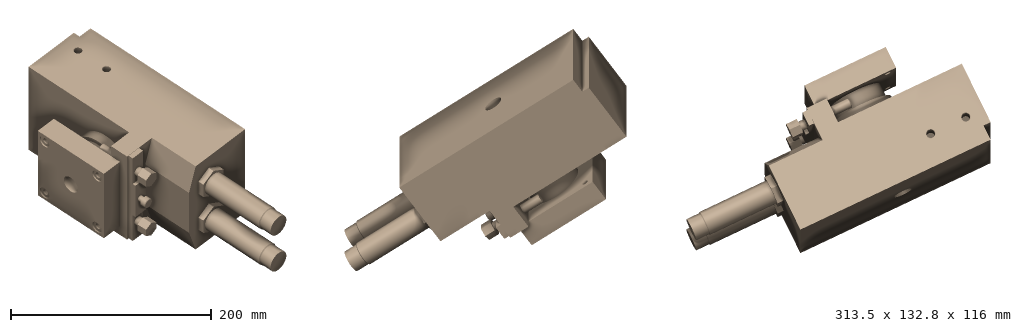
import cadquery as cq
import math


height = 116.0
block_left = -104.7
block_right = 113.8
block_depth = 82.0
rear_step_width = 7.8
rear_step_depth = 16.0
bevel_height = 30.0
bevel_depth = 9.7

lug_left = 32.3
lug_right = 54.2
lug_reach = 26.5

port_diameter = 8.5
port_mouth_diameter = 9.5
port_depth = 15.7
port_inset = 20.0
port_pitch = 39.0
port_y = 50.8

strip_y = -17.0
strip_width = 15.0
strip_height = 115.5
strip_thickness = 5.5
pad_thickness = 3.8
pad_height = 44.0

stop_screw_y = strip_y
stop_spacing = 69.0
stop_diameter = 10.0
stop_chamfer = 1.0
stop_tip_x = 10.7
stop_head_x = 66.5
stop_head_length = 11.5
stop_head_flats = 15.0

clamp_screw_y = -18.0
clamp_shank_diameter = 6.5
clamp_shank_length = 5.5
clamp_head_diameter = 11.0
clamp_head_length = 6.0
clamp_head_chamfer = 0.5

absorber_spacing = 50.2
absorber_y = 28.8
absorber_length = 95.0
nut_flats = 29.8
nut_length = 6.5
tube_diameter = 25.0
cap_diameter = 23.2
cap_length = 14.0
tube_chamfer = (tube_diameter - cap_diameter) / 2

bore_diameter = 19.0
collar_diameter = 64.0
collar_length = 11.3
neck_diameter = 55.0
neck_length = 16.0
plate_size = 90.0
plate_front = -50.8
plate_back = -(collar_length + neck_length)
plate_thickness = plate_back - plate_front
screw_hole_spacing = 71.5
screw_hole_diameter = 6.5
counterbore_diameter = 13.0
counterbore_depth = 1.5


def cylinder_x(x, y, z, diameter, length):
    """Cylinder along +X that starts at the given point."""
    return cq.Workplane("YZ", origin=(x, y, z)).circle(diameter / 2).extrude(length)


def hexagon_x(x, y, z, flats, length):
    """Hexagonal prism along +X with its corners pointing up and down."""
    corner_diameter = flats / math.cos(math.pi / 6)
    return (
        cq.Workplane("YZ", origin=(x, y, z))
        .transformed(rotate=(0, 0, 90))
        .polygon(6, corner_diameter)
        .extrude(length)
    )


def cylinder_y(y, diameter, length):
    """Cylinder on the rotary axis that runs from y toward -Y."""
    return cq.Workplane("XZ", origin=(0, y, 0)).circle(diameter / 2).extrude(length)


def make_block():
    """Block and lug, with the rear step cut from the left end."""
    outline = [
        (block_left, 0),
        (lug_left, 0),
        (lug_left, -lug_reach),
        (lug_right, -lug_reach),
        (lug_right, 0),
        (block_right, 0),
        (block_right, block_depth),
        (block_left + rear_step_width, block_depth),
        (block_left + rear_step_width, block_depth - rear_step_depth),
        (block_left, block_depth - rear_step_depth),
    ]
    return cq.Workplane("XY").workplane(offset=-height / 2).polyline(outline).close().extrude(height)


def make_bevel(side):
    """Wedge that bevels the front edge right of the lug: side +1 is the top, -1 the bottom."""
    outer_z = side * height / 2
    inner_z = side * (height / 2 - bevel_height)
    wedge = [(0, inner_z), (0, outer_z), (bevel_depth, outer_z)]
    return (
        cq.Workplane("YZ", origin=(lug_right, 0, 0))
        .polyline(wedge)
        .close()
        .extrude(block_right - lug_right)
    )


def make_port(x):
    """Blind hole in the top face with a countersunk mouth."""
    mouth_chamfer = (port_mouth_diameter - port_diameter) / 2
    top = cq.Workplane("XY", origin=(x, port_y, height / 2))
    hole = top.circle(port_diameter / 2).extrude(-port_depth)
    mouth = top.circle(port_mouth_diameter / 2).extrude(-mouth_chamfer, taper=45)
    return hole.union(mouth)


def make_clamp_strip():
    """Strip on the lug, barely shorter than the lug, with a thicker pad in the middle and a screw on the pad."""
    pad_face = lug_right + strip_thickness + pad_thickness
    strip = cq.Workplane("XY", origin=(lug_right, strip_y, 0)).box(
        strip_thickness, strip_width, strip_height, centered=(False, True, True)
    )
    pad = cq.Workplane("XY", origin=(lug_right, strip_y, 0)).box(
        strip_thickness + pad_thickness, strip_width, pad_height, centered=(False, True, True)
    )
    shank = cylinder_x(pad_face, clamp_screw_y, 0, clamp_shank_diameter, clamp_shank_length)
    head = cylinder_x(
        pad_face + clamp_shank_length, clamp_screw_y, 0, clamp_head_diameter, clamp_head_length
    )
    head = head.faces(">X").chamfer(clamp_head_chamfer)
    return strip.union(pad).union(shank).union(head)


def make_stop_screw(z):
    """Screw through the lug with a chamfered tip and a hexagonal head."""
    shank = cylinder_x(stop_tip_x, stop_screw_y, z, stop_diameter, stop_head_x - stop_tip_x)
    shank = shank.faces("<X").chamfer(stop_chamfer)
    head = hexagon_x(stop_head_x, stop_screw_y, z, stop_head_flats, stop_head_length)
    return shank.union(head)


def make_absorber(z):
    """Shock absorber on the right end: hexagonal nut, tube and slightly thinner end cap."""
    tube_length = absorber_length - cap_length
    nut = hexagon_x(block_right, absorber_y, z, nut_flats, nut_length)
    tube = cylinder_x(block_right, absorber_y, z, tube_diameter, tube_length)
    tube = tube.faces(">X").chamfer(tube_chamfer)
    cap = cylinder_x(block_right, absorber_y, z, cap_diameter, absorber_length)
    return nut.union(tube).union(cap)


def make_housing():
    body = make_block()
    for side in (1, -1):
        body = body.cut(make_bevel(side))
    for index in range(2):
        body = body.cut(make_port(block_left + port_inset + index * port_pitch))
    body = body.cut(cylinder_y(block_depth, bore_diameter, block_depth))
    body = body.union(make_clamp_strip())
    for side in (1, -1):
        body = body.union(make_stop_screw(side * stop_spacing / 2))
        body = body.union(make_absorber(side * absorber_spacing / 2))
    return body


def make_flange():
    """Square plate on a stepped hub, with a central bore and four counterbored holes."""
    collar = cylinder_y(0, collar_diameter, collar_length)
    neck = cylinder_y(-collar_length, neck_diameter, neck_length)
    plate = (
        cq.Workplane("XZ", origin=(0, plate_back, 0))
        .rect(plate_size, plate_size)
        .extrude(plate_thickness)
    )
    front_face = cq.Workplane("XZ", origin=(0, plate_front, 0))
    hole_places = front_face.rect(screw_hole_spacing, screw_hole_spacing, forConstruction=True).vertices()
    screw_holes = hole_places.circle(screw_hole_diameter / 2).extrude(-plate_thickness)
    counterbores = hole_places.circle(counterbore_diameter / 2).extrude(-counterbore_depth)
    plate = plate.cut(screw_holes).cut(counterbores)
    bore = cylinder_y(0, bore_diameter, -plate_front)
    return collar.union(neck).union(plate).cut(bore)


housing = make_housing()
flange = make_flange()

result = cq.Compound.makeCompound([housing.val(), flange.val()])